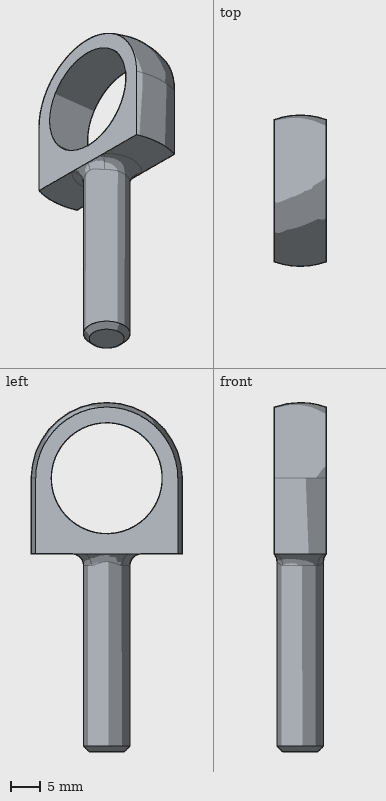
import cadquery as cq

TOTAL_HEIGHT = 60.0
HEAD_THICKNESS = 9.0
HEAD_RADIUS = 13.0
EYE_DIAMETER = 19.0
SHANK_DIAMETER = 8.0
NECK_FILLET = 2.0
TIP_CHAMFER = 1.0

EYE_HEIGHT = TOTAL_HEIGHT - HEAD_RADIUS
HEAD_BASE = EYE_HEIGHT - HEAD_RADIUS


def make_head():
    """Domed cylinder cut down to a flat slab: its crown and both narrow sides stay round."""
    side_barrel = (
        cq.Workplane("XY")
        .workplane(offset=HEAD_BASE)
        .circle(HEAD_RADIUS)
        .extrude(EYE_HEIGHT - HEAD_BASE)
    )
    crown = cq.Workplane("XY").sphere(HEAD_RADIUS).translate((0, 0, EYE_HEIGHT))
    slab = cq.Workplane("XY").box(HEAD_THICKNESS, 2 * HEAD_RADIUS, 2 * HEAD_RADIUS)
    return side_barrel.union(crown).intersect(slab.translate((0, 0, EYE_HEIGHT)))


def make_shank():
    """Round pin from Z = 0 to the underside of the head, chamfered at its tip."""
    return (
        cq.Workplane("XY")
        .circle(SHANK_DIAMETER / 2)
        .extrude(HEAD_BASE)
        .faces("<Z")
        .chamfer(TIP_CHAMFER)
    )


def round_neck(body):
    """Fillet the circle where the shank meets the underside of the head."""
    neck_edge = cq.selectors.NearestToPointSelector((0, 0, HEAD_BASE))
    return body.edges("%CIRCLE").edges(neck_edge).fillet(NECK_FILLET)


def cut_eye(body):
    """Bore the eye through the head along X."""
    eye = (
        cq.Workplane("YZ")
        .center(0, EYE_HEIGHT)
        .circle(EYE_DIAMETER / 2)
        .extrude(HEAD_THICKNESS / 2, both=True)
    )
    return body.cut(eye)


result = cut_eye(round_neck(make_head().union(make_shank())))